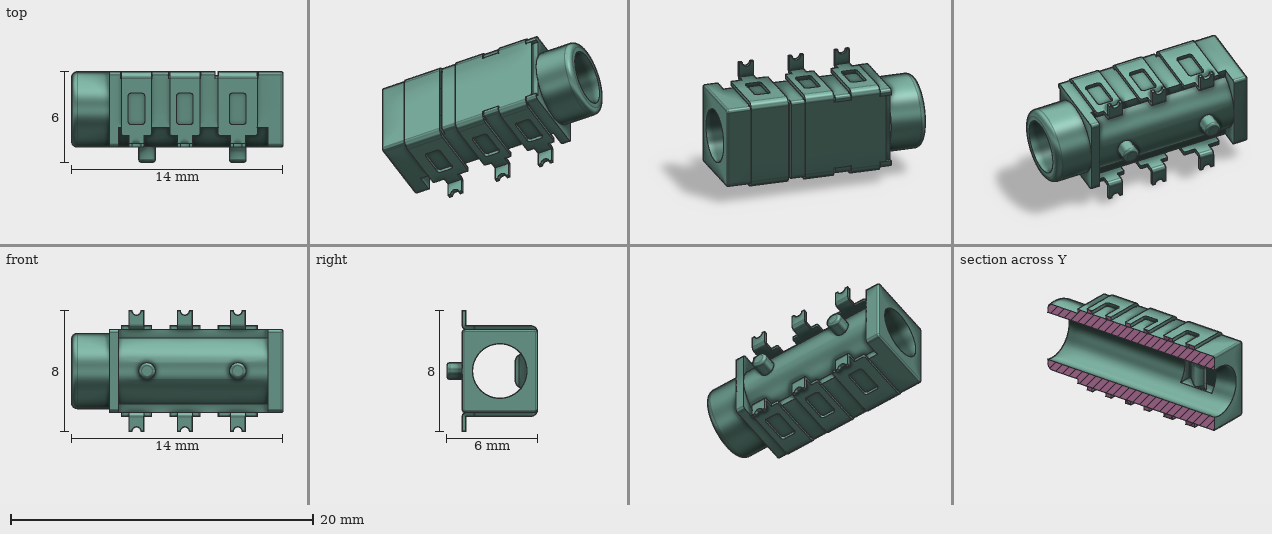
import cadquery as cq
import math


LENGTH = 14.0
BARREL_DIAMETER = 5.0
BORE_DIAMETER = 3.6
MOUTH_FILLET = 0.39
FLANGE_X = 2.5
FLANGE_THICKNESS = 0.6
REAR_BLOCK_LENGTH = 1.01
HOUSING_HEIGHT = 5.5
CORNER_RADIUS = 0.21
REAR_EDGE_RADIUS = 0.13
SHELF_Y = -1.19

BACK_Y = BARREL_DIAMETER / 2
FRONT_Y = -BARREL_DIAMETER / 2
TOP_Z = HOUSING_HEIGHT / 2

PEG_DIAMETER = 1.1
PEG_TIP_Y = -3.5
PEG_TIP_FILLET = 0.2
PEG_XS = (5.0, 11.0)

SHEET = 0.25
CLIP_XS = (4.3, 7.5)
CLIP_WIDTH = 2.0
REAR_CLIP_X = 11.0
REAR_CLIP_WIDTH = 2.6
CLIP_BEND_RADIUS = CORNER_RADIUS + SHEET
CLIP_END_Y = -1.71
CLIP_CORNER_RADIUS = 0.1
LEG_WIDTH = 1.0
LEG_BEND_RADIUS = 0.28
FOOT_TIP_Z = 8.0 / 2
FOOT_NOTCH_RADIUS = 0.3
WINDOW_WIDTH = 1.1
WINDOW_DEPTH = 2.07
WINDOW_Y = 0.04
WINDOW_RADIUS = 0.2

SEAT_Y = BACK_Y - SHEET
CLIP_Z = TOP_Z + SHEET

FRONT_SEAT_GAPS = (0.04, 0.08)
REAR_SEAT_GAP = 0.2
SEAT_RIGHT_GAP = 0.04

STRIP_X = 2.87
STRIP_HEIGHT = 4.7
STRIP_CORNER_RADIUS = 0.11

SPRING_ROOT_X = 9.85
SPRING_WIDTH = 2.3
SPRING_ANGLE = 42.0
SPRING_BEND_Y = 1.47
SPRING_CREST_Y = 1.01
SPRING_EDGE_RADIUS = 0.56
SPRING_CLEARANCE = 0.05


def box(x0, x1, y0, y1, z0, z1):
    return cq.Workplane("XY").box(x1 - x0, y1 - y0, z1 - z0, centered=False).translate((x0, y0, z0))


def mirrored(shape):
    """A shape together with its mirror image below the Z = 0 plane."""
    return shape.union(shape.mirror("XY"))


def back_rounded_block(x0, x1, y0, y1, half_height, radius):
    block = box(x0, x1, y0, y1, -half_height, half_height)
    return block.edges("|X and >Y").fillet(radius)


def clip_seat(x0, x1):
    """Channel that a clip's back sits in, open to the back of the housing."""
    ring = box(x0, x1, SEAT_Y - CORNER_RADIUS, BACK_Y, -TOP_Z, TOP_Z)
    core = back_rounded_block(x0, x1, FRONT_Y, SEAT_Y, TOP_Z, CORNER_RADIUS)
    return ring.cut(core)


def make_housing():
    barrel = cq.Workplane("YZ").circle(BARREL_DIAMETER / 2).extrude(LENGTH - REAR_BLOCK_LENGTH)
    barrel = barrel.faces("<X").edges().fillet(MOUTH_FILLET)

    rear_x = LENGTH - REAR_BLOCK_LENGTH
    flange = box(FLANGE_X, FLANGE_X + FLANGE_THICKNESS, FRONT_Y, BACK_Y, -TOP_Z, TOP_Z)
    flange = flange.edges("|X").fillet(CORNER_RADIUS)
    rear_block = box(rear_x, LENGTH, FRONT_Y, BACK_Y, -TOP_Z, TOP_Z)
    rear_block = rear_block.edges("|X").fillet(CORNER_RADIUS).faces(">X").edges().fillet(REAR_EDGE_RADIUS)
    middle = back_rounded_block(FLANGE_X, rear_x, SHELF_Y, BACK_Y, TOP_Z, CORNER_RADIUS)
    body = barrel.union(flange).union(middle).union(rear_block)

    for x in PEG_XS:
        peg = cq.Workplane("XZ", origin=(x, 0, 0)).circle(PEG_DIAMETER / 2).extrude(-PEG_TIP_Y)
        body = body.union(peg.faces("<Y").edges().fillet(PEG_TIP_FILLET))

    body = body.cut(cq.Workplane("YZ").circle(BORE_DIAMETER / 2).extrude(LENGTH))

    for x, gap in zip(CLIP_XS, FRONT_SEAT_GAPS):
        half = CLIP_WIDTH / 2
        body = body.cut(clip_seat(x - half - gap, x + half + SEAT_RIGHT_GAP))
    half = REAR_CLIP_WIDTH / 2
    body = body.cut(clip_seat(REAR_CLIP_X - half - REAR_SEAT_GAP, REAR_CLIP_X + half + SEAT_RIGHT_GAP))

    half = STRIP_HEIGHT / 2
    body = body.cut(box(FLANGE_X, CLIP_XS[1], SEAT_Y, BACK_Y, -half, half))

    half = SPRING_WIDTH / 2 + SPRING_CLEARANCE
    left = REAR_CLIP_X - REAR_CLIP_WIDTH / 2
    right = REAR_CLIP_X + REAR_CLIP_WIDTH / 2
    return body.cut(box(left, right, 0, SEAT_Y, -half, half))


def upper_leg(x):
    """Narrow end of a clip's upper side, bent outwards into a notched foot."""
    leg = (
        cq.Workplane("YZ", origin=(x - LEG_WIDTH / 2, 0, 0))
        .moveTo(CLIP_END_Y, TOP_Z)
        .lineTo(FRONT_Y, TOP_Z)
        .lineTo(FRONT_Y, FOOT_TIP_Z)
        .lineTo(FRONT_Y + SHEET, FOOT_TIP_Z)
        .lineTo(FRONT_Y + SHEET, CLIP_Z)
        .lineTo(CLIP_END_Y, CLIP_Z)
        .close()
        .extrude(LEG_WIDTH)
    )
    leg = leg.edges("|X and <Y and <Z").fillet(LEG_BEND_RADIUS)
    notch = (
        cq.Workplane("XZ", origin=(x, FRONT_Y + SHEET, FOOT_TIP_Z))
        .circle(FOOT_NOTCH_RADIUS)
        .extrude(SHEET)
    )
    return leg.cut(notch)


def make_clip(x, width):
    """U-shaped clip round the housing's back, with a foot at each end."""
    x0 = x - width / 2
    x1 = x + width / 2
    outside = back_rounded_block(x0, x1, CLIP_END_Y, BACK_Y, CLIP_Z, CLIP_BEND_RADIUS)
    inside = back_rounded_block(x0, x1, CLIP_END_Y, SEAT_Y, TOP_Z, CORNER_RADIUS)
    clip = outside.cut(inside).edges("|Z and <Y").fillet(CLIP_CORNER_RADIUS)
    clip = clip.union(mirrored(upper_leg(x)))
    window = box(
        x - WINDOW_WIDTH / 2, x + WINDOW_WIDTH / 2,
        WINDOW_Y - WINDOW_DEPTH / 2, WINDOW_Y + WINDOW_DEPTH / 2,
        -CLIP_Z, CLIP_Z,
    )
    return clip.cut(window.edges("|Z").fillet(WINDOW_RADIUS))


def make_front_contact():
    """Two clips joined by a flat strip that also runs forward into the flange."""
    half = STRIP_HEIGHT / 2
    contact = box(STRIP_X, CLIP_XS[1], SEAT_Y, BACK_Y, -half, half)
    contact = contact.edges("|Y and <X").fillet(STRIP_CORNER_RADIUS)
    for x in CLIP_XS:
        contact = contact.union(make_clip(x, CLIP_WIDTH))
    return contact


def make_spring():
    """Ramp from the clip's back into the bore, ending in a tangent curve at its crest."""
    angle = math.radians(SPRING_ANGLE)
    outer_radius = (SPRING_BEND_Y - SPRING_CREST_Y) / (1 - math.cos(angle))
    inner_radius = outer_radius - SHEET
    bend_x = SPRING_ROOT_X + (SEAT_Y - SPRING_BEND_Y) / math.tan(angle)
    center_x = bend_x + outer_radius * math.sin(angle)
    center_y = SPRING_CREST_Y + outer_radius

    def on_arc(radius, turn):
        return (center_x - radius * math.sin(turn), center_y - radius * math.cos(turn))

    root_width = SHEET / math.sin(angle)
    spring = (
        cq.Workplane("XY", origin=(0, 0, -SPRING_WIDTH / 2))
        .moveTo(SPRING_ROOT_X, SEAT_Y)
        .lineTo(*on_arc(outer_radius, angle))
        .threePointArc(on_arc(outer_radius, angle / 2), on_arc(outer_radius, 0))
        .lineTo(*on_arc(inner_radius, 0))
        .threePointArc(on_arc(inner_radius, angle / 2), on_arc(inner_radius, angle))
        .lineTo(SPRING_ROOT_X + root_width, SEAT_Y)
        .close()
        .extrude(SPRING_WIDTH)
    )
    half = SPRING_WIDTH / 2
    envelope = box(SPRING_ROOT_X, center_x, SPRING_CREST_Y, SEAT_Y, -half, half)
    return spring.intersect(envelope.edges("|X and <Y").fillet(SPRING_EDGE_RADIUS))


def make_rear_contact():
    return make_clip(REAR_CLIP_X, REAR_CLIP_WIDTH).union(make_spring())


housing = make_housing()
front_contact = make_front_contact()
rear_contact = make_rear_contact()

bodies = (housing, front_contact, rear_contact)
result = cq.Compound.makeCompound([body.solids().val() for body in bodies])